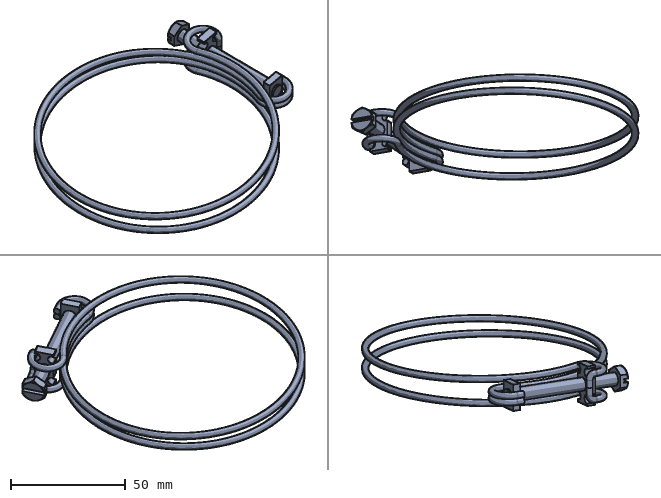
import cadquery as cq
import math


wire_diameter = 3.0
coil_radius = 52.0
hook_radius = 7.0
hook_center_x = 20.0
outer_level = 6.0
inner_level = wire_diameter / 2
bend_radius = 2.5
crossbar_x = -17.0
right_tip_x = 16.5

plate_height = 8.5
left_plate_width = 18.0
left_plate_thickness = 4.0
left_plate_x = -18.8
right_plate_width = 12.0
right_plate_thickness = 3.5
right_plate_x = 18.7
notch_radius = 1.9
notch_depth = 2.5
plate_gap = 0.05

shaft_diameter = 6.0
shaft_end_x = 21.4
head_left_x = -37.0
head_thickness = 4.0
head_across_flats = 10.0
head_chamfer_angle = 45.0
slot_width = 1.6
slot_depth = 2.0

wire_radius = wire_diameter / 2
hook_center_y = math.sqrt((coil_radius + hook_radius) ** 2 - hook_center_x ** 2)
hook_top_y = hook_center_y + hook_radius
joint_angle = math.degrees(math.atan2(hook_center_y, hook_center_x))
plate_top_y = hook_top_y - wire_radius - plate_gap
screw_y = plate_top_y - plate_height / 2


def sweep_wire(path, plane):
    """Round wire swept along a path, starting on the given plane."""
    return cq.Workplane(plane).circle(wire_radius).sweep(cq.Workplane(obj=path), isFrenet=True)


def coil():
    """Helix of just over one turn, rising from the right hook up to the left hook."""
    sweep_angle = 360 + 2 * (90 - joint_angle)
    rise = outer_level - inner_level
    helix = cq.Wire.makeHelix(rise * 360 / sweep_angle, rise, coil_radius)
    start = cq.Plane(origin=(coil_radius, 0, 0), xDir=(1, 0, 0), normal=(0, 1, 0))
    body = sweep_wire(helix, start)
    return body.rotate((0, 0, 0), (0, 0, 1), joint_angle).translate((0, 0, inner_level))


def hook_arc(side, level):
    """Arc from the coil joint round to the top of the hook; side is 1 for right, -1 for left."""
    start_angle = joint_angle - 180
    points = []
    for angle in (start_angle, (start_angle + 90) / 2, 90):
        x = hook_center_x + hook_radius * math.cos(math.radians(angle))
        y = hook_center_y + hook_radius * math.sin(math.radians(angle))
        points.append(cq.Vector(side * x, y, level))
    return cq.Edge.makeThreePointArc(*points)


def joint_plane(arc):
    """Plane across the wire where a hook meets the coil."""
    return cq.Plane(origin=arc.startPoint(), xDir=(0, 0, 1), normal=arc.tangentAt(0))


def right_hook():
    """Hook with a short straight tip."""
    arc = hook_arc(1, inner_level)
    tip = cq.Edge.makeLine(arc.endPoint(), cq.Vector(right_tip_x, hook_top_y, inner_level))
    return sweep_wire(cq.Wire.assembleEdges([arc, tip]), joint_plane(arc))


def left_hook():
    """Hook that bends down into half of the crossbar and ends at Z = 0."""
    arc = hook_arc(-1, outer_level)
    bend_start = cq.Vector(crossbar_x - bend_radius, hook_top_y, outer_level)
    bend_end = cq.Vector(crossbar_x, hook_top_y, outer_level - bend_radius)
    run = cq.Edge.makeLine(arc.endPoint(), bend_start)
    bend = cq.Edge.makeTangentArc(bend_start, cq.Vector(1, 0, 0), bend_end)
    crossbar = cq.Edge.makeLine(bend_end, cq.Vector(crossbar_x, hook_top_y, 0))
    return sweep_wire(cq.Wire.assembleEdges([arc, run, bend, crossbar]), joint_plane(arc))


def clamp_wire():
    """Upper wire: coil with both hooks."""
    return coil().union(right_hook()).union(left_hook())


def plate(middle_x, thickness, width):
    """Rectangular plate under a hook, with a hole for the screw shaft."""
    body = cq.Workplane("XY").box(thickness, plate_height, width)
    hole = cq.Workplane("YZ").circle(shaft_diameter / 2).extrude(thickness, both=True)
    return body.cut(hole).translate((middle_x, screw_y, 0))


def left_plate():
    """Wide plate with round-ended notches in both long edges, level with the hook wires."""
    body = plate(left_plate_x, left_plate_thickness, left_plate_width)
    notch_length = 2 * notch_depth
    notches = (
        cq.Workplane("YZ", origin=(left_plate_x, screw_y, 0))
        .rarray(plate_height, 2 * outer_level, 2, 2)
        .slot2D(notch_length, 2 * notch_radius)
        .extrude(left_plate_thickness, both=True)
    )
    return body.cut(notches)


def right_plate():
    """Narrower plain plate, with the end of the screw through it."""
    return plate(right_plate_x, right_plate_thickness, right_plate_width)


def screw():
    """Hex-head screw with a chamfered, slotted head; hexagon corners point along Z."""
    head = (
        cq.Workplane("YZ", origin=(head_left_x, screw_y, 0))
        .polygon(6, head_across_flats, circumscribed=True)
        .extrude(head_thickness)
    )
    face_radius = head_across_flats / 2
    rim_radius = face_radius + head_thickness / math.tan(math.radians(head_chamfer_angle))
    chamfer_cone = cq.Workplane(
        obj=cq.Solid.makeCone(
            face_radius,
            rim_radius,
            head_thickness,
            cq.Vector(head_left_x, screw_y, 0),
            cq.Vector(1, 0, 0),
        )
    )
    slot = cq.Workplane("XY").box(2 * slot_depth, 2 * head_across_flats, slot_width)
    head = head.intersect(chamfer_cone).cut(slot.translate((head_left_x, screw_y, 0)))
    shaft_start_x = head_left_x + head_thickness
    shaft = (
        cq.Workplane("YZ", origin=(shaft_start_x, screw_y, 0))
        .circle(shaft_diameter / 2)
        .extrude(shaft_end_x - shaft_start_x)
    )
    return head.union(shaft)


upper_wire = clamp_wire()
lower_wire = upper_wire.mirror("XY")
wires = [upper_wire.val(), lower_wire.val()]

result = cq.Compound.makeCompound([*wires, left_plate().val(), right_plate().val(), screw().val()])